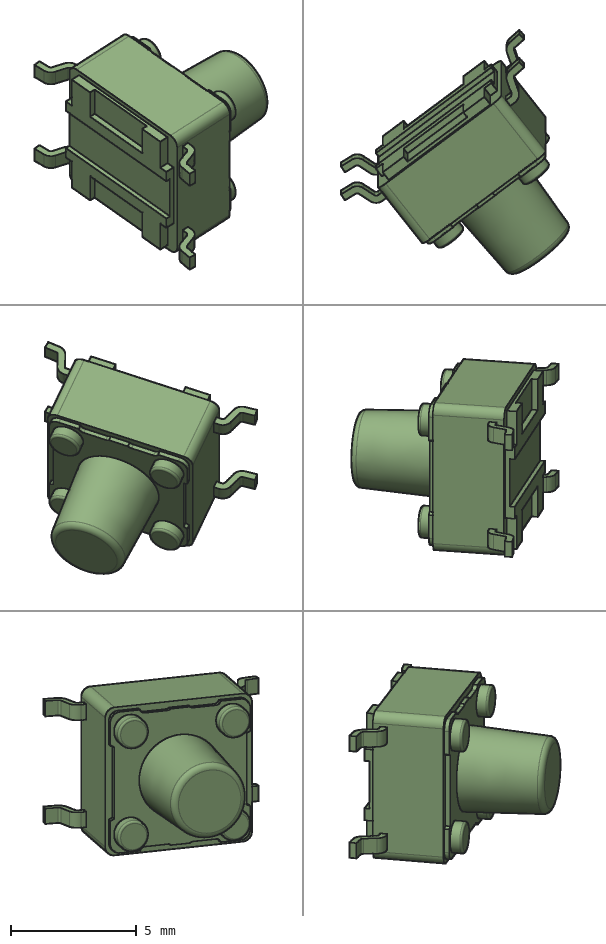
import cadquery as cq
import math


HOUSING_WIDTH = 6.2
HOUSING_DEPTH = 2.9
CORNER_RADIUS = 0.4

RELIEF_WIDTH = 5.8
RELIEF_HEIGHT = 0.4
RELIEF_NECK_WIDTH = 5.1
RELIEF_SHOULDER_Z = 1.5
CHANNEL_WIDTH = 2.0
CHANNEL_DEPTH = 0.2
POCKET_WIDTH = 3.0
POCKET_FLOOR_Z = 1.6
POCKET_DEPTH = 0.25

COVER_WIDTH = 5.9
COVER_THICKNESS = 0.2
NOTCH_DEPTH = 0.15
NOTCH_FLOOR_START = 0.55
NOTCH_FLOOR_END = 1.49
NOTCH_RADIUS = 0.22
TAB_RISE = 0.05
SIDE_NOTCH_FLANK = 0.08

POST_RADIUS = 0.65
POST_OFFSET = 2.15
POST_PROTRUSION = 0.49
POST_ROUND = 0.1

BUTTON_BASE_RADIUS = 1.74
BUTTON_TIP_RADIUS = 1.56
BUTTON_PROTRUSION = 3.5
BUTTON_ROUND = 0.25

TERMINAL_SPAN = 9.0
TERMINAL_WIDTH = 0.65
TERMINAL_THICKNESS = 0.3
TERMINAL_OFFSET_Z = 2.25
TERMINAL_ROOT_Y = 0.45
SHOULDER_BEND_X = 3.52
FOOT_BEND_X = 3.81
FOOT_BEND_Y = -0.41
FOOT_TILT = math.radians(5)
BEND_INNER_RADIUS = 0.13

HALF_HOUSING = HOUSING_WIDTH / 2
HALF_COVER = COVER_WIDTH / 2
COVER_FACE_Y = HOUSING_DEPTH + COVER_THICKNESS
POST_TIP_Y = COVER_FACE_Y + POST_PROTRUSION
BUTTON_TIP_Y = COVER_FACE_Y + BUTTON_PROTRUSION
POST_CENTRES = [(x, z) for x in (-POST_OFFSET, POST_OFFSET) for z in (-POST_OFFSET, POST_OFFSET)]


def plane_at(y):
    """Workplane facing -Y at the given Y, with X to the right and Z up."""
    return cq.Workplane("XZ", origin=(0, y, 0))


def block(x_size, z_size, y_start, y_end, x_centre=0.0, z_centre=0.0):
    """Rectangular block between two Y positions."""
    return plane_at(y_start).center(x_centre, z_centre).rect(x_size, z_size).extrude(y_start - y_end)


def make_rear_relief():
    """Stepped pad with a channel across its middle and one pocket at its top and bottom edges."""
    rear_y = -RELIEF_HEIGHT
    relief = block(RELIEF_NECK_WIDTH, RELIEF_WIDTH, rear_y, 0)
    relief = relief.union(block(RELIEF_WIDTH, 2 * RELIEF_SHOULDER_Z, rear_y, 0))
    relief = relief.cut(block(RELIEF_WIDTH, CHANNEL_WIDTH, rear_y, rear_y + CHANNEL_DEPTH))
    pocket_height = RELIEF_WIDTH / 2 - POCKET_FLOOR_Z
    pocket_centre = POCKET_FLOOR_Z + pocket_height / 2
    for z in (-pocket_centre, pocket_centre):
        relief = relief.cut(block(POCKET_WIDTH, pocket_height, rear_y, rear_y + POCKET_DEPTH, z_centre=z))
    return relief


def make_posts():
    """Four posts that rise from the housing and have rounded tips."""
    posts = plane_at(HOUSING_DEPTH).pushPoints(POST_CENTRES).circle(POST_RADIUS)
    posts = posts.extrude(HOUSING_DEPTH - POST_TIP_Y)
    return posts.faces(">Y").edges().fillet(POST_ROUND)


def make_housing():
    body = block(HOUSING_WIDTH, HOUSING_WIDTH, 0, HOUSING_DEPTH).edges("|Y").fillet(CORNER_RADIUS)
    return body.union(make_rear_relief()).union(make_posts())


def make_edge_notch():
    """Notch in the top edge of the cover: two floors with rounded ends and a low tab between them."""
    floor_z = HALF_COVER - NOTCH_DEPTH
    cutter_height = 2 * NOTCH_RADIUS
    slot_width = NOTCH_FLOOR_END - NOTCH_FLOOR_START + 2 * NOTCH_RADIUS
    slot_centre = (NOTCH_FLOOR_START + NOTCH_FLOOR_END) / 2
    tab_top_z = floor_z + TAB_RISE
    notch = block(2 * NOTCH_FLOOR_START, cutter_height, HOUSING_DEPTH, COVER_FACE_Y,
                  z_centre=tab_top_z + cutter_height / 2)
    for x in (-slot_centre, slot_centre):
        slot = block(slot_width, cutter_height, HOUSING_DEPTH, COVER_FACE_Y, x, floor_z + cutter_height / 2)
        notch = notch.union(slot.faces("<Z").edges("|Y").fillet(NOTCH_RADIUS))
    return notch


def make_side_notch():
    """Wide shallow notch with sloping flanks in the +X edge of the cover."""
    floor_x = HALF_COVER - NOTCH_DEPTH
    mouth_z = NOTCH_FLOOR_END + SIDE_NOTCH_FLANK
    outline = [(floor_x, -NOTCH_FLOOR_END), (HALF_COVER, -mouth_z),
               (HALF_COVER, mouth_z), (floor_x, NOTCH_FLOOR_END)]
    return plane_at(HOUSING_DEPTH).polyline(outline).close().extrude(-COVER_THICKNESS)


def make_cover():
    """Thin plate with notched edges, pierced by the posts and the button."""
    cover = block(COVER_WIDTH, COVER_WIDTH, HOUSING_DEPTH, COVER_FACE_Y).edges("|Y").fillet(CORNER_RADIUS)
    edge_notch = make_edge_notch()
    side_notch = make_side_notch()
    cover = cover.cut(edge_notch).cut(edge_notch.mirror("XY"))
    cover = cover.cut(side_notch).cut(side_notch.mirror("YZ"))
    holes = plane_at(HOUSING_DEPTH).pushPoints(POST_CENTRES).circle(POST_RADIUS)
    holes = holes.extrude(-COVER_THICKNESS)
    button_hole = plane_at(HOUSING_DEPTH).circle(BUTTON_BASE_RADIUS).extrude(-COVER_THICKNESS)
    return cover.cut(holes).cut(button_hole)


def make_button():
    """Tapered round button standing on the housing, with a straight stem through the cover."""
    profile = [(0, HOUSING_DEPTH), (BUTTON_BASE_RADIUS, HOUSING_DEPTH), (BUTTON_BASE_RADIUS, COVER_FACE_Y),
               (BUTTON_TIP_RADIUS, BUTTON_TIP_Y), (0, BUTTON_TIP_Y)]
    button = cq.Workplane("XY").polyline(profile).close().revolve(360, (0, 0), (0, 1))
    return button.faces(">Y").edges().fillet(BUTTON_ROUND)


def offset_point(point, direction_in, direction_out, distance):
    """Mitred offset of a centreline point, to the left of the two directions for a positive distance."""
    normal = (direction_in + direction_out + math.pi) / 2
    reach = distance / math.cos((direction_out - direction_in) / 2)
    return (point[0] + reach * math.cos(normal), point[1] + reach * math.sin(normal))


def make_terminal(z):
    """Gull-wing terminal on the +X side, with rounded bends, centred on the given Z."""
    half = TERMINAL_THICKNESS / 2
    leg_slope = math.atan2(FOOT_BEND_Y - TERMINAL_ROOT_Y, FOOT_BEND_X - SHOULDER_BEND_X)
    tip_x = TERMINAL_SPAN / 2 - half * math.sin(FOOT_TILT)
    tip_y = FOOT_BEND_Y - (tip_x - FOOT_BEND_X) * math.tan(FOOT_TILT)
    centreline = [
        ((HALF_HOUSING, TERMINAL_ROOT_Y), 0, 0),
        ((SHOULDER_BEND_X, TERMINAL_ROOT_Y), 0, leg_slope),
        ((FOOT_BEND_X, FOOT_BEND_Y), leg_slope, -FOOT_TILT),
        ((tip_x, tip_y), -FOOT_TILT, -FOOT_TILT),
    ]
    upper = [offset_point(*station, half) for station in centreline]
    lower = [offset_point(*station, -half) for station in centreline]
    start_z = z - TERMINAL_WIDTH / 2
    terminal = cq.Workplane("XY", origin=(0, 0, start_z)).polyline(upper + lower[::-1]).close()
    terminal = terminal.extrude(TERMINAL_WIDTH)

    bend_outer_radius = BEND_INNER_RADIUS + TERMINAL_THICKNESS
    bends = [
        (upper[1], bend_outer_radius),
        (lower[1], BEND_INNER_RADIUS),
        (upper[2], BEND_INNER_RADIUS),
        (lower[2], bend_outer_radius),
    ]
    for (x, y), radius in bends:
        corner = cq.selectors.NearestToPointSelector((x, y, z))
        terminal = terminal.edges("|Z").edges(corner).fillet(radius)
    return terminal


def make_terminals():
    """Two terminals on each side of the housing."""
    terminals = []
    for z in (-TERMINAL_OFFSET_Z, TERMINAL_OFFSET_Z):
        terminal = make_terminal(z)
        terminals.append(terminal.solids().val())
        terminals.append(terminal.mirror("YZ").solids().val())
    return terminals


housing = make_housing()
cover = make_cover()
button = make_button()
terminals = make_terminals()

result = cq.Compound.makeCompound([
    housing.solids().val(),
    cover.solids().val(),
    button.solids().val(),
    *terminals,
])